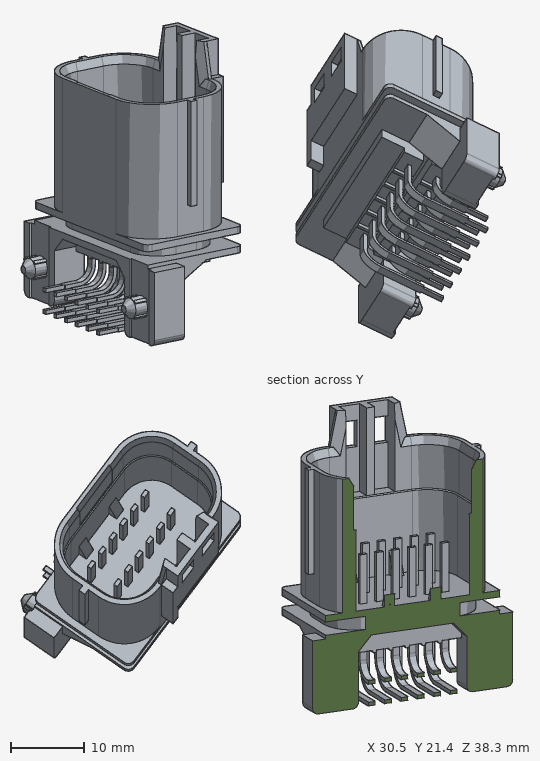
import cadquery as cq

ear_top = 10.65
lower_flange_bottom = 10.23
lower_flange_top = 11.2
upper_flange_bottom = 13.02
upper_flange_top = 14.0
ledge_bottom = 25.6
ledge_top = 25.75
lead_in_bottom = 31.98
rim_top = 33.2
latch_top = 38.3

shell_half_x = 12.25
shell_half_y = 8.2
shell_corner = 6.0
rim_wall = 0.73
upper_wall = 1.2
lower_wall = 1.38
flange_half_x = 13.25
flange_corner = 1.0
neck_half_x = 11.25
neck_half_y = 6.2
neck_corner = 4.45

side_rib_half_x = 13.1
side_rib_width = 1.0
side_rib_bottom = 18.23
groove_width = 7.6
groove_depth = 0.15
ramp_x = 3.52
ramp_width = 1.65
ramp_depth = 1.25
ramp_height = 3.45

latch_half_x = 4.75
latch_back_y = 10.15
latch_bottom = 23.25
pocket_outer_x = 3.7
pocket_back_y = 9.2
web_half_x = 0.6
window_inner_x = 1.05
window_bottom = 32.2
window_top = 36.0
wing_rim_half_x = 5.85
wing_side_y = 7.65
wing_bevel_x = 1.55
key_inner_x = 4.67
key_bottom = 18.1

ear_outer_x = 15.25
ear_inner_x = 8.2
ear_back_y = -3.15
ear_corner = 0.95
pad_outer_x = 13.95
pad_inner_x = 9.45
pad_depth = 0.3
brace_x = 1.95
brace_bottom = 8.12
gusset_back_y = 2.0
gusset_bottom = 7.25
peg_x = 11.72
peg_z = 5.0
peg_radius = 1.45
peg_tip_radius = 0.55
peg_shoulder_y = -9.9
peg_tip_y = -10.88
peg_rib_reach = 1.7
peg_rib_width = 0.45
peg_rib_angles = (45, 135, 225, 315)

base_half_x = ear_inner_x
base_back_y = 6.25
base_bottom = 8.1
row_block_depth = 3.0
bump_height = 0.35
bump_base_width = 0.75
bump_tip_width = 0.3

pin_rows = ((1.07, 0.1, 7.0, 2.72), (-3.35, 3.2, 7.43, -1.57))
pin_pitch = 2.5
pins_per_row = 6
pin_thickness = 0.57
pin_width = 1.05
pin_tail_width = 0.65
pin_tail_start_y = -8.12
pin_end_y = -11.25
pin_bend_radius = 2.72
pin_top = 21.05


def box(x0, x1, y0, y1, z0, z1):
    """Axis-aligned block given by its limits."""
    return cq.Workplane().box(x1 - x0, y1 - y0, z1 - z0, centered=False).translate((x0, y0, z0))


def rounded_block(half_x, half_y, corner, z0, z1):
    """Upright prism with rounded vertical edges."""
    return box(-half_x, half_x, -half_y, half_y, z0, z1).edges("|Z").fillet(corner)


def extrude_along_x(points, x0, x1):
    """Extrude a closed (y, z) outline from x0 to x1."""
    return cq.Workplane("YZ").workplane(offset=x0).polyline(points).close().extrude(x1 - x0)


def with_mirror(solid):
    """The solid together with its mirror image on the other side in X."""
    return solid.union(solid.mirror("YZ"))


def inset_outline(inset):
    """Shell outline moved inwards, with concentric corners."""
    return (
        cq.Sketch()
        .rect(2 * (shell_half_x - inset), 2 * (shell_half_y - inset))
        .vertices()
        .fillet(shell_corner - inset)
    )


def cavity_section(inset_low, inset_high, z0, z1):
    """Slice of the cavity whose wall may change thickness from z0 to z1."""
    upper = inset_outline(inset_high).moved(cq.Location(cq.Vector(0, 0, z1 - z0)))
    return cq.Workplane().placeSketch(inset_outline(inset_low), upper).loft(ruled=True).translate((0, 0, z0))


def make_cavity():
    lower = cavity_section(lower_wall, lower_wall, upper_flange_top, ledge_bottom)
    ledge = cavity_section(lower_wall, upper_wall, ledge_bottom, ledge_top)
    upper = cavity_section(upper_wall, upper_wall, ledge_top, lead_in_bottom)
    lead_in = cavity_section(upper_wall, rim_wall, lead_in_bottom, rim_top)
    return lower.union(ledge).union(upper).union(lead_in)


def make_front_groove():
    """Shallow groove in the -Y wall that follows the lead-in."""
    wall_y = upper_wall - shell_half_y
    rim_y = rim_wall - shell_half_y
    outline = [
        (0, ledge_top),
        (wall_y - groove_depth, ledge_top),
        (wall_y - groove_depth, lead_in_bottom),
        (rim_y - groove_depth, rim_top),
        (0, rim_top),
    ]
    return extrude_along_x(outline, -groove_width / 2, groove_width / 2)


def make_floor_ramps():
    """Four sloped ribs standing on the cavity floor against the long walls."""
    wall_y = shell_half_y - lower_wall
    outline = [
        (wall_y + lower_wall / 2, upper_flange_top),
        (wall_y - ramp_depth, upper_flange_top),
        (wall_y, upper_flange_top + ramp_height),
        (wall_y + lower_wall / 2, upper_flange_top + ramp_height),
    ]
    ramps = with_mirror(extrude_along_x(outline, ramp_x - ramp_width / 2, ramp_x + ramp_width / 2))
    return ramps.union(ramps.mirror("XZ"))


def make_housing():
    shell = rounded_block(shell_half_x, shell_half_y, shell_corner, upper_flange_top, rim_top)
    side_ribs = box(
        -side_rib_half_x, side_rib_half_x, -side_rib_width / 2, side_rib_width / 2, side_rib_bottom, rim_top
    )
    upper_flange = rounded_block(
        flange_half_x, shell_half_y, flange_corner, upper_flange_bottom, upper_flange_top
    )
    neck = rounded_block(neck_half_x, neck_half_y, neck_corner, lower_flange_top, upper_flange_bottom)
    lower_flange = (
        box(-flange_half_x, flange_half_x, -shell_half_y, shell_half_y, lower_flange_bottom, lower_flange_top)
        .edges("|Z and >Y")
        .fillet(flange_corner)
    )
    body = shell.union(side_ribs).cut(make_cavity()).cut(make_front_groove())
    return body.union(upper_flange).union(neck).union(lower_flange).union(make_floor_ramps())


def wing_outline(half_x):
    """Horizontal section of the wings: beveled towards the cavity."""
    front_y = shell_half_y - upper_wall
    return [
        (half_x, shell_half_y),
        (half_x, wing_side_y),
        (half_x - wing_bevel_x, front_y),
        (wing_bevel_x - half_x, front_y),
        (-half_x, wing_side_y),
        (-half_x, shell_half_y),
    ]


def make_wings():
    """Wall raised above the rim, narrowing towards the top."""
    slope = (wing_rim_half_x - latch_half_x) / (latch_top - rim_top)
    bottom_half_x = wing_rim_half_x + slope * (rim_top - lead_in_bottom)
    return (
        cq.Workplane()
        .workplane(offset=lead_in_bottom)
        .polyline(wing_outline(bottom_half_x))
        .close()
        .workplane(offset=latch_top - lead_in_bottom)
        .polyline(wing_outline(latch_half_x))
        .close()
        .loft(ruled=True)
    )


def make_latch():
    tower = box(-latch_half_x, latch_half_x, wing_side_y, latch_back_y, latch_bottom, latch_top)
    key = box(key_inner_x, wing_rim_half_x, wing_side_y, latch_back_y, key_bottom, rim_top)
    return tower.union(key).union(make_wings())


def make_latch_openings():
    """Two pockets open to the cavity, each with a window through the back."""
    pocket = box(web_half_x, pocket_outer_x, 0, pocket_back_y, ledge_top, latch_top)
    window = box(window_inner_x, pocket_outer_x, 0, latch_back_y, window_bottom, window_top)
    return with_mirror(pocket.union(window))


def make_peg():
    """Locating peg along -Y with a conical tip and four crush ribs."""
    root_y = pad_depth - shell_half_y
    peg = (
        cq.Workplane("YZ")
        .polyline(
            [
                (ear_back_y, 0),
                (ear_back_y, peg_radius),
                (peg_shoulder_y, peg_radius),
                (peg_tip_y, peg_tip_radius),
                (peg_tip_y, 0),
            ]
        )
        .close()
        .revolve(360, (0, 0, 0), (1, 0, 0))
    )
    rib = box(0, peg_rib_reach, peg_shoulder_y, root_y, -peg_rib_width / 2, peg_rib_width / 2)
    for angle in peg_rib_angles:
        peg = peg.union(rib.rotate((0, 0, 0), (0, 1, 0), angle))
    return peg.translate((peg_x, 0, peg_z))


def make_ear():
    """Ear on the +X side with the brace and gusset that tie it to the flange."""
    front_y = -shell_half_y
    ear = (
        box(ear_inner_x, ear_outer_x, front_y, ear_back_y, 0, ear_top)
        .edges("|Y and <Z")
        .fillet(ear_corner)
    )
    brace = (
        cq.Workplane("XZ", origin=(0, ear_back_y, 0))
        .polyline(
            [
                (ear_inner_x, brace_bottom),
                (ear_inner_x, lower_flange_bottom),
                (ear_inner_x - brace_x, lower_flange_bottom),
            ]
        )
        .close()
        .extrude(ear_back_y - front_y)
    )
    gusset = extrude_along_x(
        [
            (ear_back_y, gusset_bottom),
            (gusset_back_y, lower_flange_bottom),
            (ear_back_y, lower_flange_bottom),
        ],
        ear_inner_x,
        flange_half_x,
    )
    return ear.union(brace).union(gusset)


def make_pad_recess():
    """Shallow upright recess in the front face of the ear and flange."""
    return box(pad_inner_x, pad_outer_x, -shell_half_y, pad_depth - shell_half_y, 0, lower_flange_top)


def row_positions(count):
    """X positions of evenly pitched items centred on the part."""
    return [(i - (count - 1) / 2) * pin_pitch for i in range(count)]


def make_row_block(bottom, back_y):
    """Block around one row of terminals, with small teeth between them."""
    front_y = back_y - row_block_depth
    block = box(-base_half_x, base_half_x, front_y, back_y, bottom, lower_flange_bottom)
    for x in row_positions(pins_per_row - 1):
        bump = (
            cq.Workplane("XZ", origin=(x, back_y, bottom))
            .polyline(
                [
                    (-bump_base_width / 2, 0),
                    (bump_base_width / 2, 0),
                    (bump_tip_width / 2, -bump_height),
                    (-bump_tip_width / 2, -bump_height),
                ]
            )
            .close()
            .extrude(row_block_depth)
        )
        block = block.union(bump)
    return block


def make_pin(center_y, tail_bottom):
    """Terminal that runs down from the cavity, bends and leaves towards -Y."""
    back = center_y + pin_thickness / 2
    tail_top = tail_bottom + pin_thickness
    leg = box(-pin_width / 2, pin_width / 2, back - pin_thickness, back, tail_bottom, pin_top)
    foot = box(-pin_width / 2, pin_width / 2, pin_tail_start_y, back, tail_bottom, tail_top)
    inner_radius = pin_bend_radius - pin_thickness
    pin = leg.union(foot)
    pin = pin.edges(cq.selectors.NearestToPointSelector((0, back, tail_bottom))).fillet(pin_bend_radius)
    inner_corner = (0, back - pin_thickness, tail_top)
    pin = pin.edges(cq.selectors.NearestToPointSelector(inner_corner)).fillet(inner_radius)
    tail = box(-pin_tail_width / 2, pin_tail_width / 2, pin_end_y, pin_tail_start_y, tail_bottom, tail_top)
    return pin.union(tail)


def make_terminals():
    base = box(-base_half_x, base_half_x, 0, base_back_y, base_bottom, lower_flange_bottom)
    for center_y, tail_bottom, block_bottom, block_back_y in pin_rows:
        base = base.union(make_row_block(block_bottom, block_back_y))
        pin = make_pin(center_y, tail_bottom)
        for x in row_positions(pins_per_row):
            base = base.union(pin.translate((x, 0, 0)))
    return base


result = make_housing().union(make_latch()).cut(make_latch_openings())
result = result.union(with_mirror(make_ear())).cut(with_mirror(make_pad_recess()))
result = result.union(with_mirror(make_peg())).union(make_terminals())